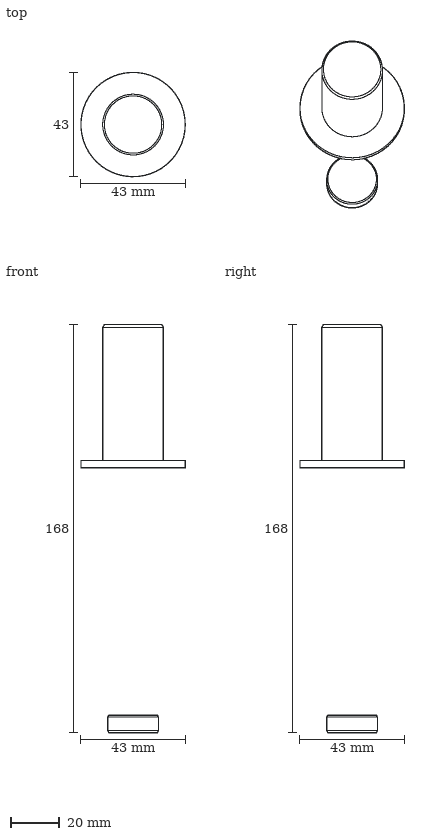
import math

import cadquery as cq

overall_height = 168.0

chamfer_angle = math.radians(30)

flange_radius = 43.0 / 2
flange_thickness = 3.0
shank_radius = 25.0 / 2
shank_length = 56.0
shank_chamfer_width = 0.7
pin_top = flange_thickness + shank_length

disc_radius = 21.0 / 2
disc_thickness = 7.3
disc_chamfer_width = 0.5
disc_bottom = pin_top - overall_height
disc_top = disc_bottom + disc_thickness


def chamfer_height(width):
    """Length along Z of an end chamfer with the given radial width."""
    return width / math.tan(chamfer_angle)


def revolve_about_z(profile):
    """Turn a closed half-section of (radius, z) points around the Z axis."""
    return cq.Workplane("XZ").polyline(profile).close().revolve(360, (0, 0), (0, 1))


def make_flanged_pin():
    """Round shank with a chamfered top end, standing on a thin round flange."""
    return revolve_about_z([
        (0, 0),
        (flange_radius, 0),
        (flange_radius, flange_thickness),
        (shank_radius, flange_thickness),
        (shank_radius, pin_top - chamfer_height(shank_chamfer_width)),
        (shank_radius - shank_chamfer_width, pin_top),
        (0, pin_top),
    ])


def make_disc():
    """Short round disc, chamfered around both end faces."""
    end_radius = disc_radius - disc_chamfer_width
    rim_inset = chamfer_height(disc_chamfer_width)
    return revolve_about_z([
        (0, disc_bottom),
        (end_radius, disc_bottom),
        (disc_radius, disc_bottom + rim_inset),
        (disc_radius, disc_top - rim_inset),
        (end_radius, disc_top),
        (0, disc_top),
    ])


flanged_pin = make_flanged_pin()
disc = make_disc()

result = cq.Compound.makeCompound([flanged_pin.val(), disc.val()])